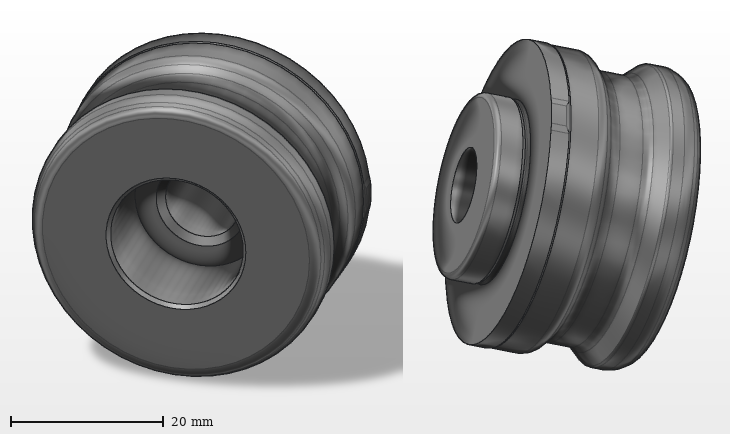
import cadquery as cq
import math

wheel_radius = 20.25
groove_radius = 18.15
flange_radius = 20.37
hub_radius = 12.45
hub_neck_radius = 12.25
hub_foot_radius = 12.38

rim_start = 2.85
groove_front = 4.45
groove_floor_front = 7.9
groove_floor_back = 11.1
groove_back = 14.85
flange_cone_start = 18.7
flange_front = 18.95
flange_back = 21.48
hub_neck_start = 21.9
hub_neck_end = 22.18
hub_front = 22.6
hub_back = 26.3

rim_angle = math.radians(30)
rim_side_arc_radius = 3.05
rim_face_arc_radius = 1.55

front_wall_angle = math.radians(40)
front_crest_blend = 0.6
back_wall_angle = math.radians(45)
groove_blend = 2.05
hub_edge_fillet = 0.75

bore_radius = 9.0
bore_chamfer = 0.5
bore_depth = 12.3
hole_radius = 5.05
countersink_radius = 6.15
countersink_half_angle = math.radians(60)

pad_radius = 20.5
pad_base_width = 5.0
pad_top_width = 3.1
pad_taper_length = 0.5
pad_inner_x = 18.45


def blend_point(start, radius, angle, r_sign, y_sign):
    """Point on an arc that leaves a Y-parallel line at start and turns by angle."""
    r, y = start
    return (
        r + r_sign * radius * (1 - math.cos(angle)),
        y + y_sign * radius * math.sin(angle),
    )


def add_blend(profile, start, radius, angle, r_sign, y_sign, outward_from_start):
    """Add a blend arc, running either away from or towards its Y-parallel end."""
    middle = blend_point(start, radius, angle / 2, r_sign, y_sign)
    end = blend_point(start, radius, angle, r_sign, y_sign)
    if outward_from_start:
        return profile.lineTo(*start).threePointArc(middle, end)
    return profile.lineTo(*end).threePointArc(middle, start)


def make_body():
    side_start = (wheel_radius, rim_start)
    cone_back_r, cone_back_y = blend_point(side_start, rim_side_arc_radius, rim_angle, -1, -1)
    cone_front_y = rim_face_arc_radius * (1 - math.sin(rim_angle))
    cone_front_r = cone_back_r - (cone_back_y - cone_front_y) * math.tan(rim_angle)
    face_radius = cone_front_r - rim_face_arc_radius * math.cos(rim_angle)
    face_arc_angle = (math.pi / 2 + rim_angle) / 2
    face_arc_middle = (
        face_radius + rim_face_arc_radius * math.cos(face_arc_angle),
        rim_face_arc_radius * (1 - math.sin(face_arc_angle)),
    )

    profile = cq.Workplane("XY").lineTo(face_radius, 0)
    profile = profile.threePointArc(face_arc_middle, (cone_front_r, cone_front_y))
    profile = add_blend(profile, side_start, rim_side_arc_radius, rim_angle, -1, -1, False)
    profile = add_blend(
        profile, (wheel_radius, groove_front), front_crest_blend, front_wall_angle, -1, 1, True
    )
    profile = add_blend(
        profile, (groove_radius, groove_floor_front), groove_blend, front_wall_angle, 1, -1, False
    )
    profile = add_blend(
        profile, (groove_radius, groove_floor_back), groove_blend, back_wall_angle, 1, 1, True
    )
    profile = add_blend(
        profile, (wheel_radius, groove_back), groove_blend, back_wall_angle, -1, -1, False
    )
    profile = (
        profile.lineTo(wheel_radius, flange_cone_start)
        .lineTo(flange_radius, flange_front)
        .lineTo(flange_radius, flange_back)
        .lineTo(hub_foot_radius, flange_back)
        .lineTo(hub_neck_radius, hub_neck_start)
        .lineTo(hub_neck_radius, hub_neck_end)
        .lineTo(hub_radius, hub_front)
        .lineTo(hub_radius, hub_back)
        .lineTo(0, hub_back)
        .close()
    )
    body = profile.revolve(360, (0, 0, 0), (0, 1, 0))
    return body.faces(">Y").edges().fillet(hub_edge_fillet)


def make_bore():
    countersink_depth = (countersink_radius - hole_radius) / math.tan(countersink_half_angle)
    return (
        cq.Workplane("XY")
        .lineTo(bore_radius + bore_chamfer, 0)
        .lineTo(bore_radius, bore_chamfer)
        .lineTo(bore_radius, bore_depth)
        .lineTo(countersink_radius, bore_depth)
        .lineTo(hole_radius, bore_depth + countersink_depth)
        .lineTo(hole_radius, hub_back)
        .lineTo(0, hub_back)
        .close()
        .revolve(360, (0, 0, 0), (0, 1, 0))
    )


def make_pad():
    """Raised pad at +X with tapered sides and a tapered front end."""
    base_half = pad_base_width / 2
    top_half = pad_top_width / 2
    base_x = math.sqrt(flange_radius**2 - base_half**2)
    top_x = math.sqrt(pad_radius**2 - top_half**2)
    section = (
        cq.Workplane("XZ", origin=(0, flange_back, 0))
        .moveTo(pad_inner_x, -base_half)
        .lineTo(base_x, -base_half)
        .lineTo(top_x, -top_half)
        .threePointArc((pad_radius, 0), (top_x, top_half))
        .lineTo(base_x, base_half)
        .lineTo(pad_inner_x, base_half)
        .close()
        .extrude(flange_back - flange_front)
    )
    envelope = (
        cq.Workplane("XY")
        .moveTo(0, flange_front)
        .lineTo(flange_radius, flange_front)
        .lineTo(pad_radius, flange_front + pad_taper_length)
        .lineTo(pad_radius, flange_back)
        .lineTo(0, flange_back)
        .close()
        .revolve(360, (0, 0, 0), (0, 1, 0))
    )
    return section.intersect(envelope)


wheel = make_body()
pad = make_pad()
for side_angle in (0, 180):
    wheel = wheel.union(pad.rotate((0, 0, 0), (0, 1, 0), side_angle))
result = wheel.cut(make_bore())